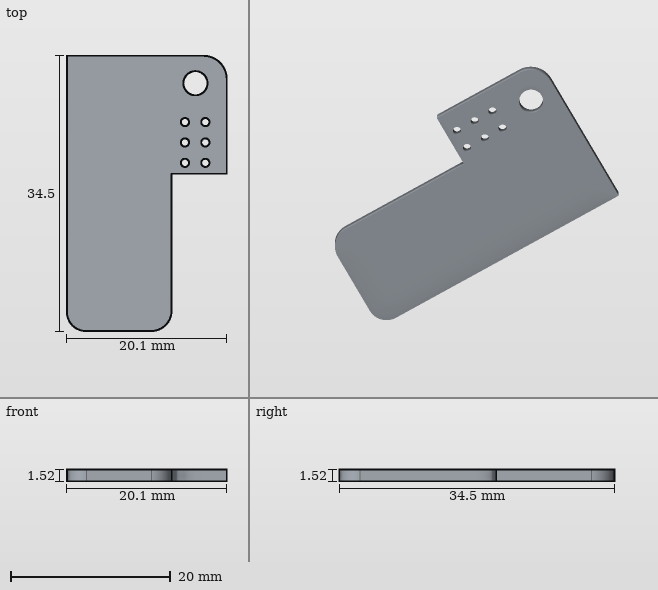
import cadquery as cq

width = 20.05
length = 34.52
thickness = 1.52

stem_width = 13.15
stem_length = 19.7

stem_left_radius = 2.4
stem_right_radius = 2.6
head_radius = 2.95

mount_diameter = 3.0
mount_x = 16.12
mount_y = 31.07

pin_diameter = 1.0
pin_pitch = 2.55
pin_columns = 2
pin_rows = 3
pin_grid_x = 16.1
pin_grid_y = 23.65


def round_corner(body, x, y, radius):
    """Round the vertical edge standing at (x, y)."""
    corner = cq.selectors.NearestToPointSelector((x, y, thickness / 2))
    return body.edges("|Z").edges(corner).fillet(radius)


plate = (
    cq.Workplane("XY")
    .polyline([
        (0, 0),
        (stem_width, 0),
        (stem_width, stem_length),
        (width, stem_length),
        (width, length),
        (0, length),
    ])
    .close()
    .extrude(thickness)
)

plate = round_corner(plate, 0, 0, stem_left_radius)
plate = round_corner(plate, stem_width, 0, stem_right_radius)
plate = round_corner(plate, width, length, head_radius)

mount_hole = (
    cq.Workplane("XY")
    .center(mount_x, mount_y)
    .circle(mount_diameter / 2)
    .extrude(thickness)
)
pin_holes = (
    cq.Workplane("XY")
    .center(pin_grid_x, pin_grid_y)
    .rarray(pin_pitch, pin_pitch, pin_columns, pin_rows)
    .circle(pin_diameter / 2)
    .extrude(thickness)
)

result = plate.cut(mount_hole).cut(pin_holes)